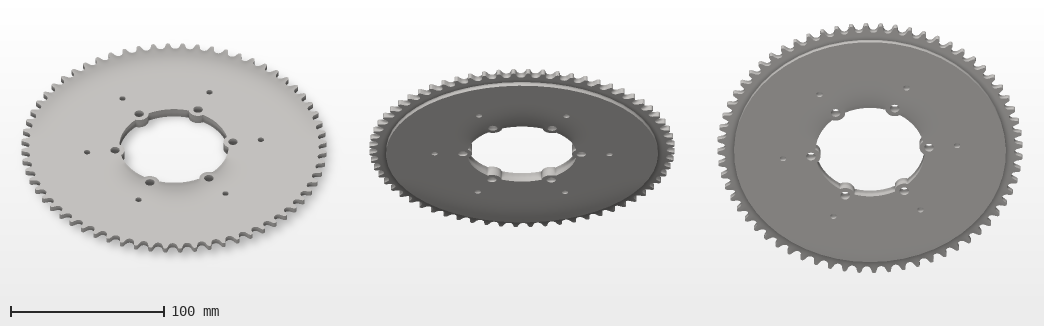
import cadquery as cq
import math

tooth_count = 64
tip_radius = 99.8
root_radius = 94.5
seat_radius = 2.8
tip_round_radius = 1.4
plate_thickness = 3.5

shoulder_radius = 88.8
shoulder_thickness = 2.8

bore_radius = 35.7
bolt_circle_radius = 38.7
bolt_hole_diameter = 6.2
lug_radius = 6.2

small_hole_circle_radius = 57.1
small_hole_diameter = 4.2

hole_count = 6
total_thickness = shoulder_thickness + plate_thickness


def polar(radius, angle):
    return (radius * math.cos(angle), radius * math.sin(angle))


def tooth_outline():
    """Closed outline of tip rounds and roller seats joined by straight tangent flanks."""
    tooth_pitch = 2 * math.pi / tooth_count
    half_pitch = tooth_pitch / 2

    seat_height = root_radius + seat_radius
    tip_height = (tip_radius - tip_round_radius) * math.cos(half_pitch)
    tip_offset = (tip_radius - tip_round_radius) * math.sin(half_pitch)

    centre_distance = math.hypot(tip_height - seat_height, tip_offset)
    centre_direction = math.atan2(tip_offset, tip_height - seat_height)
    flank_normal = centre_direction + math.acos((seat_radius + tip_round_radius) / centre_distance)
    seat_end_height = seat_height + seat_radius * math.cos(flank_normal)
    seat_end_offset = seat_radius * math.sin(flank_normal)
    tip_end_height = tip_height - tip_round_radius * math.cos(flank_normal)
    tip_end_offset = tip_offset - tip_round_radius * math.sin(flank_normal)

    seat_end_radius = math.hypot(seat_end_height, seat_end_offset)
    seat_end_angle = math.atan2(seat_end_offset, seat_end_height)
    tip_end_radius = math.hypot(tip_end_height, tip_end_offset)
    tip_end_angle = math.atan2(tip_end_offset, tip_end_height)

    outline = cq.Workplane("XY").workplane(offset=shoulder_thickness)
    outline = outline.moveTo(*polar(seat_end_radius, -half_pitch + seat_end_angle))
    for tooth in range(tooth_count):
        tooth_angle = tooth * tooth_pitch
        last_seat_angle = tooth_angle - half_pitch
        next_seat_angle = tooth_angle + half_pitch
        outline = outline.lineTo(*polar(tip_end_radius, last_seat_angle + tip_end_angle))
        outline = outline.threePointArc(
            polar(tip_radius, tooth_angle),
            polar(tip_end_radius, next_seat_angle - tip_end_angle),
        )
        outline = outline.lineTo(*polar(seat_end_radius, next_seat_angle - seat_end_angle))
        outline = outline.threePointArc(
            polar(root_radius, next_seat_angle),
            polar(seat_end_radius, next_seat_angle + seat_end_angle),
        )
    return outline.close()


def ring_of_cylinders(circle_radius, cylinder_radius):
    """Full-height cylinders spaced evenly around the axis, the first on +X."""
    return (
        cq.Workplane("XY")
        .polarArray(circle_radius, 0, 360, hole_count)
        .circle(cylinder_radius)
        .extrude(total_thickness)
    )


toothed_plate = tooth_outline().extrude(plate_thickness)
shoulder = cq.Workplane("XY").circle(shoulder_radius).extrude(shoulder_thickness)

lugs = ring_of_cylinders(bolt_circle_radius, lug_radius)
bore = cq.Workplane("XY").circle(bore_radius).extrude(total_thickness).cut(lugs)

bolt_holes = ring_of_cylinders(bolt_circle_radius, bolt_hole_diameter / 2)
small_holes = ring_of_cylinders(small_hole_circle_radius, small_hole_diameter / 2)

result = toothed_plate.union(shoulder).cut(bore).cut(bolt_holes).cut(small_holes)